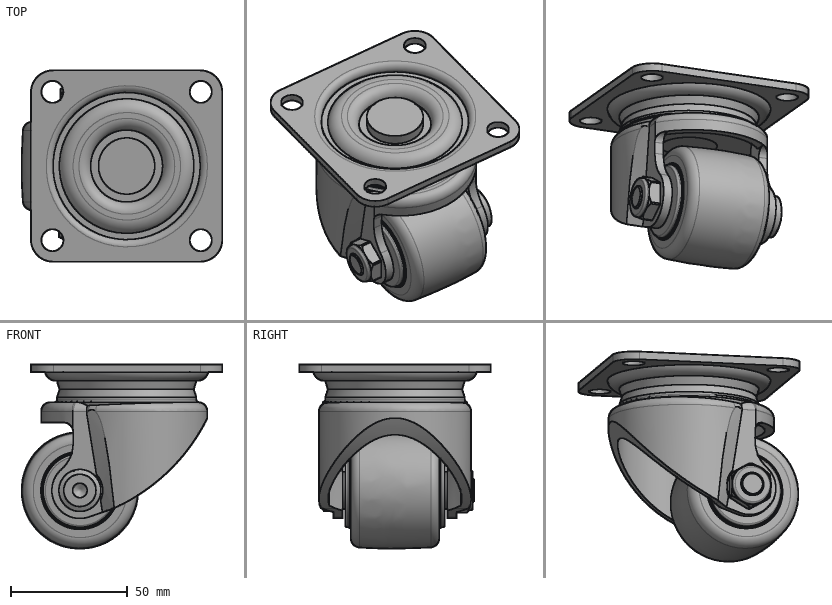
import cadquery as cq
import math


PLATE_SIZE = 82.0
PLATE_THICKNESS = 3.4
PLATE_CORNER_RADIUS = 9.5
BOLT_HOLE_PITCH = 63.5
BOLT_HOLE_DIAMETER = 9.3

RACE_DEPTH = 3.75
RACE_RIM_RADIUS = 34.5
RACE_FLOOR_OUTER_RADIUS = 31.5
RACE_FLOOR_INNER_RADIUS = 28.8
CROWN_OUTER_RADIUS = 23.0
CROWN_INNER_RADIUS = 20.5
CENTRE_HOLE_RADIUS = 15.4
BOWL_RADIUS = 35.0
BOWL_BOTTOM_RADIUS = 30.2
BOWL_BEND_RADIUS = 4.95
BOWL_BOTTOM_Z = -(PLATE_THICKNESS + RACE_DEPTH)

COLLAR_RADIUS = 29.9
WAIST_RADIUS = 28.8
WAIST_Z = -10.8

WALL = 4.0
FORK_TOP_Z = -16.2
FORK_RADIUS = 32.6
FORK_FRONT_CENTRE_X = -4.0
FORK_BACK_CENTRE_X = 2.0
FORK_TOP_FILLET = 4.0
LEG_OUTER_Y = 26.4
LEG_INNER_Y = LEG_OUTER_Y - WALL
LEG_FRONT_X = -22.9
LEG_END_RADIUS = 12.0
LEG_NECK_RADIUS = 14.5
SEAT_RADIUS = 9.8
SKIRT_BOTTOM_Z = -25.0
SKIRT_CORNER_RADIUS = 4.0
BACK_EDGE_TOP_Z = -23.0
BACK_EDGE_MIDDLE = (15.0, -48.5)
LEG_TAIL_ANGLE = 20.0
NECK_RADIUS = 29.9
NECK_CONE_BOTTOM_Z = -14.15
NECK_FOOT_FILLET = 1.1
BOSS_TOP_Z = -5.0

STEP_TOP_Z = -20.3
STEP_BOTTOM_Z = -61.7
STEP_FOOT_TOP_X = -17.2
STEP_FOOT_BOTTOM_X = -10.6
STEP_CREST_TOP = (-14.5, 28.2)
STEP_CREST_BOTTOM = (-5.6, 31.7)

KINGPIN_RADIUS = 12.05
KINGPIN_TOP_Z = -0.5

AXLE_X = -20.0
AXLE_Z = -54.0
TYRE_RADIUS = 25.0
TYRE_SHOULDER_RADIUS = 24.5
TYRE_SHOULDER_Y = 15.3
TYRE_FACE_Y = 19.0
TYRE_FACE_RADIUS = 20.1
SHOULDER_SHARE = 0.7
HUB_RADIUS = 16.7
HUB_FLANGE_RADIUS = 16.3
HUB_FLANGE_Y = 19.6
HUB_RIM_RADIUS = 15.8
HUB_FACE_Y = 21.4
HUB_ROUND = 0.9
HUB_SPACER_RADIUS = 8.0

BOLT_RADIUS = 5.0
BOLT_END_Y = 34.0
BOLT_END_CHAMFER = 0.6
BOLT_HEAD_RADIUS = 9.0
BOLT_HEAD_FACE_Y = -31.4
BOLT_HEAD_FACE_RADIUS = 6.9
BOLT_HEAD_CHAMFER = 1.0
CENTRE_MARK_RADIUS = 3.1
CENTRE_MARK_DEPTH = 1.8
NUT_ACROSS_FLATS = 17.0
NUT_CORNER_RADIUS = 9.6
NUT_HEX_END_Y = 31.6
NUT_HEX_CHAMFER = 0.9
NUT_COLLAR_RADIUS = 8.5
NUT_END_Y = 33.3
NUT_COLLAR_ROUND = 0.9

OVERSIZE = 50.0


def polar(radius, degrees):
    angle = math.radians(degrees)
    return radius * math.cos(angle), radius * math.sin(angle)


def axle_point(radius, degrees):
    dx, dz = polar(radius, degrees)
    return AXLE_X + dx, AXLE_Z + dz


def axle_cylinder(radius, y_start, y_end):
    """Cylinder on the axle line, between two Y positions."""
    plane = cq.Workplane("XZ", origin=(AXLE_X, y_start, AXLE_Z))
    return plane.circle(radius).extrude(y_start - y_end)


def axle_revolve(sketch):
    """Turn a (radius, Y) outline about the axle line."""
    turned = sketch.close().revolve(360, (0, 0, 0), (0, 1, 0))
    return turned.translate((AXLE_X, 0, AXLE_Z))


def upright(radius, x, z_top, z_bottom):
    """Vertical cylinder between two heights."""
    plane = cq.Workplane("XY", origin=(x, 0, z_bottom))
    return plane.circle(radius).extrude(z_top - z_bottom)


def make_plate():
    sheet = (
        cq.Workplane("XY", origin=(0, 0, -PLATE_THICKNESS))
        .rect(PLATE_SIZE, PLATE_SIZE)
        .extrude(PLATE_THICKNESS)
        .edges("|Z")
        .fillet(PLATE_CORNER_RADIUS)
        .cut(upright(RACE_RIM_RADIUS, 0, 0, -PLATE_THICKNESS))
    )
    rim_radius = RACE_RIM_RADIUS - RACE_FLOOR_OUTER_RADIUS
    crown_run = RACE_FLOOR_INNER_RADIUS - CROWN_OUTER_RADIUS
    crown_radius = (crown_run**2 + RACE_DEPTH**2) / (2 * RACE_DEPTH)
    hole_radius = CROWN_INNER_RADIUS - CENTRE_HOLE_RADIUS
    race = (
        cq.Workplane("XZ")
        .moveTo(BOWL_RADIUS, 0)
        .lineTo(RACE_RIM_RADIUS, 0)
        .radiusArc((RACE_FLOOR_OUTER_RADIUS, -rim_radius), -rim_radius)
        .lineTo(RACE_FLOOR_OUTER_RADIUS, -RACE_DEPTH)
        .lineTo(RACE_FLOOR_INNER_RADIUS, -RACE_DEPTH)
        .radiusArc((CROWN_OUTER_RADIUS, 0), -crown_radius)
        .lineTo(CROWN_INNER_RADIUS, 0)
        .radiusArc((CENTRE_HOLE_RADIUS, -hole_radius), -hole_radius)
        .lineTo(CENTRE_HOLE_RADIUS, WAIST_Z)
        .lineTo(WAIST_RADIUS, WAIST_Z)
        .lineTo(COLLAR_RADIUS, BOWL_BOTTOM_Z)
        .lineTo(BOWL_BOTTOM_RADIUS, BOWL_BOTTOM_Z)
        .radiusArc((BOWL_RADIUS, -PLATE_THICKNESS), -BOWL_BEND_RADIUS)
        .close()
        .revolve(360, (0, 0, 0), (0, 1, 0))
    )
    holes = (
        cq.Workplane("XY")
        .rect(BOLT_HOLE_PITCH, BOLT_HOLE_PITCH, forConstruction=True)
        .vertices()
        .circle(BOLT_HOLE_DIAMETER / 2)
        .extrude(-PLATE_THICKNESS)
    )
    return sheet.union(race).cut(holes)


def rounded_column(radius, x_front, x_back, z_top):
    """Upright column with an outline of two half circles joined by straight flanks."""
    length = x_back - x_front + 2 * radius
    return (
        cq.Workplane("XY", origin=((x_front + x_back) / 2, 0, z_top))
        .slot2D(length, 2 * radius)
        .extrude(-2 * OVERSIZE)
    )


def step_section(side, inset, z):
    """Outline, at one height, of the space beside a leg that leaves the slanted step."""
    share = (STEP_TOP_Z - z) / (STEP_TOP_Z - STEP_BOTTOM_Z)
    foot_x = STEP_FOOT_TOP_X + share * (STEP_FOOT_BOTTOM_X - STEP_FOOT_TOP_X)
    crest_x = STEP_CREST_TOP[0] + share * (STEP_CREST_BOTTOM[0] - STEP_CREST_TOP[0])
    crest_y = STEP_CREST_TOP[1] + share * (STEP_CREST_BOTTOM[1] - STEP_CREST_TOP[1])
    slope = (crest_x - foot_x) / (crest_y - LEG_OUTER_Y)
    foot_y = LEG_OUTER_Y - inset
    inner_x = foot_x + inset / 2
    far_x = inner_x + slope * (OVERSIZE - foot_y)
    return [
        (inner_x, side * foot_y),
        (far_x, side * OVERSIZE),
        (-OVERSIZE, side * OVERSIZE),
        (-OVERSIZE, side * foot_y),
    ]


def step_wedge(side, inset):
    """Space beside one leg that leaves the slanted step, moved inward by the inset."""
    z_top = FORK_TOP_Z
    z_bottom = AXLE_Z - LEG_END_RADIUS
    return (
        cq.Workplane("XY", origin=(0, 0, z_top))
        .polyline(step_section(side, inset, z_top))
        .close()
        .workplane(offset=z_bottom - z_top)
        .polyline(step_section(side, inset, z_bottom))
        .close()
        .loft(ruled=True)
    )


def fork_column(inset):
    """Outer shape of the fork, or its hollow when inset by the wall thickness."""
    radius = FORK_RADIUS - inset
    z_top = FORK_TOP_Z - inset
    half_width = LEG_OUTER_Y - inset
    flats = cq.Workplane("XY").box(4 * OVERSIZE, 2 * half_width, 6 * OVERSIZE)
    core = rounded_column(radius, FORK_FRONT_CENTRE_X, FORK_BACK_CENTRE_X, z_top).intersect(flats)
    flanks = upright(radius, FORK_BACK_CENTRE_X, z_top, -2 * OVERSIZE)
    for side in (-1, 1):
        flanks = flanks.cut(step_wedge(side, inset))
    return core.union(flanks)


def fork_side_profile():
    """Block, wide across Y, with the side outline of the fork."""
    neck_reach = LEG_END_RADIUS + LEG_NECK_RADIUS
    neck_angle = 180 - math.degrees(math.acos((AXLE_X - LEG_FRONT_X + LEG_NECK_RADIUS) / neck_reach))
    neck_rise = neck_reach * math.sin(math.radians(neck_angle))
    tail_angle = LEG_TAIL_ANGLE - 90
    back_x = FORK_BACK_CENTRE_X + FORK_RADIUS
    return (
        cq.Workplane("XZ")
        .moveTo(-OVERSIZE, 0)
        .lineTo(-OVERSIZE, SKIRT_BOTTOM_Z)
        .lineTo(LEG_FRONT_X - SKIRT_CORNER_RADIUS, SKIRT_BOTTOM_Z)
        .radiusArc((LEG_FRONT_X, SKIRT_BOTTOM_Z - SKIRT_CORNER_RADIUS), SKIRT_CORNER_RADIUS)
        .lineTo(LEG_FRONT_X, AXLE_Z + neck_rise)
        .radiusArc(axle_point(LEG_END_RADIUS, neck_angle), LEG_NECK_RADIUS)
        .threePointArc(axle_point(LEG_END_RADIUS, 180), axle_point(LEG_END_RADIUS, tail_angle))
        .lineTo(STEP_CREST_BOTTOM[0], STEP_BOTTOM_Z)
        .threePointArc(BACK_EDGE_MIDDLE, (back_x, BACK_EDGE_TOP_Z))
        .lineTo(OVERSIZE, BACK_EDGE_TOP_Z)
        .lineTo(OVERSIZE, 0)
        .close()
        .extrude(OVERSIZE, both=True)
    )


def leg_eye(side):
    """Flat front half of one leg around the axle."""
    z_top = SKIRT_BOTTOM_Z - SKIRT_CORNER_RADIUS
    height = z_top - (AXLE_Z - LEG_END_RADIUS)
    centre = (
        AXLE_X - LEG_END_RADIUS / 2,
        side * (LEG_OUTER_Y - WALL / 2),
        z_top - height / 2,
    )
    return cq.Workplane("XY", origin=centre).box(LEG_END_RADIUS, WALL, height)


def make_fork():
    column = fork_column(0).faces(">Z").edges().fillet(FORK_TOP_FILLET)
    shell = column.cut(fork_column(WALL))
    for side in (-1, 1):
        shell = shell.union(leg_eye(side))
    wheel_gap = (
        cq.Workplane("XY")
        .box(OVERSIZE, 2 * LEG_INNER_Y, OVERSIZE, centered=(False, True, False))
        .translate((-OVERSIZE, 0, SKIRT_BOTTOM_Z - OVERSIZE))
    )
    shell = shell.cut(wheel_gap).intersect(fork_side_profile())
    for side in (-1, 1):
        shell = shell.cut(axle_cylinder(SEAT_RADIUS, side * LEG_OUTER_Y, side * OVERSIZE))
    neck = (
        cq.Workplane("XZ")
        .lineTo(0, WAIST_Z)
        .lineTo(WAIST_RADIUS, WAIST_Z)
        .lineTo(NECK_RADIUS, NECK_CONE_BOTTOM_Z)
        .lineTo(NECK_RADIUS, FORK_TOP_Z + NECK_FOOT_FILLET)
        .radiusArc((NECK_RADIUS + NECK_FOOT_FILLET, FORK_TOP_Z), -NECK_FOOT_FILLET)
        .lineTo(NECK_RADIUS, FORK_TOP_Z - WALL)
        .lineTo(0, FORK_TOP_Z - WALL)
        .close()
        .revolve(360, (0, 0, 0), (0, 1, 0))
    )
    boss = upright(CENTRE_HOLE_RADIUS, 0, BOSS_TOP_Z, FORK_TOP_Z)
    pin_hole = upright(KINGPIN_RADIUS, 0, 0, FORK_TOP_Z - WALL)
    axle_hole = axle_cylinder(BOLT_RADIUS, -OVERSIZE, OVERSIZE)
    return shell.union(neck).union(boss).cut(pin_hole).cut(axle_hole)


def make_kingpin():
    return upright(KINGPIN_RADIUS, 0, KINGPIN_TOP_Z, FORK_TOP_Z - WALL)


def make_tyre():
    rest = 1 - SHOULDER_SHARE
    corner_mid_radius = TYRE_SHOULDER_RADIUS * SHOULDER_SHARE + TYRE_FACE_RADIUS * rest
    corner_mid_y = TYRE_SHOULDER_Y * rest + TYRE_FACE_Y * SHOULDER_SHARE
    return axle_revolve(
        cq.Workplane("XY")
        .moveTo(HUB_RADIUS, -TYRE_FACE_Y)
        .lineTo(TYRE_FACE_RADIUS, -TYRE_FACE_Y)
        .threePointArc((corner_mid_radius, -corner_mid_y), (TYRE_SHOULDER_RADIUS, -TYRE_SHOULDER_Y))
        .threePointArc((TYRE_RADIUS, 0), (TYRE_SHOULDER_RADIUS, TYRE_SHOULDER_Y))
        .threePointArc((corner_mid_radius, corner_mid_y), (TYRE_FACE_RADIUS, TYRE_FACE_Y))
        .lineTo(HUB_RADIUS, TYRE_FACE_Y)
    )


def make_hub():
    core = axle_cylinder(HUB_RADIUS, -TYRE_FACE_Y, TYRE_FACE_Y)
    flange = axle_cylinder(HUB_FLANGE_RADIUS, -HUB_FLANGE_Y, HUB_FLANGE_Y)
    rim = axle_cylinder(HUB_RIM_RADIUS, -HUB_FACE_Y, HUB_FACE_Y).edges().fillet(HUB_ROUND)
    spacer = axle_cylinder(HUB_SPACER_RADIUS, -LEG_INNER_Y, LEG_INNER_Y)
    bore = axle_cylinder(BOLT_RADIUS, -LEG_INNER_Y, LEG_INNER_Y)
    return core.union(flange).union(rim).union(spacer).cut(bore)


def make_bolt():
    return axle_revolve(
        cq.Workplane("XY")
        .moveTo(0, BOLT_HEAD_FACE_Y + CENTRE_MARK_DEPTH)
        .lineTo(CENTRE_MARK_RADIUS, BOLT_HEAD_FACE_Y)
        .lineTo(BOLT_HEAD_FACE_RADIUS, BOLT_HEAD_FACE_Y)
        .lineTo(BOLT_HEAD_RADIUS, BOLT_HEAD_FACE_Y + BOLT_HEAD_CHAMFER)
        .lineTo(BOLT_HEAD_RADIUS, -LEG_OUTER_Y)
        .lineTo(BOLT_RADIUS, -LEG_OUTER_Y)
        .lineTo(BOLT_RADIUS, BOLT_END_Y - BOLT_END_CHAMFER)
        .lineTo(BOLT_RADIUS - BOLT_END_CHAMFER, BOLT_END_Y)
        .lineTo(0, BOLT_END_Y)
    )


def make_nut():
    corner_diameter = NUT_ACROSS_FLATS / math.cos(math.radians(30))
    turned_corners = (
        axle_cylinder(NUT_CORNER_RADIUS, LEG_OUTER_Y, NUT_HEX_END_Y)
        .faces(">Y")
        .edges()
        .chamfer(NUT_HEX_CHAMFER)
    )
    hexagon = (
        cq.Workplane("XZ", origin=(AXLE_X, LEG_OUTER_Y, AXLE_Z))
        .transformed(rotate=(0, 0, 30))
        .polygon(6, corner_diameter)
        .extrude(LEG_OUTER_Y - NUT_HEX_END_Y)
        .intersect(turned_corners)
    )
    collar = (
        axle_cylinder(NUT_COLLAR_RADIUS, LEG_OUTER_Y, NUT_END_Y)
        .faces(">Y")
        .edges()
        .fillet(NUT_COLLAR_ROUND)
    )
    return hexagon.union(collar).cut(axle_cylinder(BOLT_RADIUS, LEG_OUTER_Y, NUT_END_Y))


plate = make_plate()
fork = make_fork()
kingpin = make_kingpin()
tyre = make_tyre()
hub = make_hub()
bolt = make_bolt()
nut = make_nut()

result = cq.Compound.makeCompound(
    [plate.val(), fork.val(), kingpin.val(), tyre.val(), hub.val(), bolt.val(), nut.val()]
)